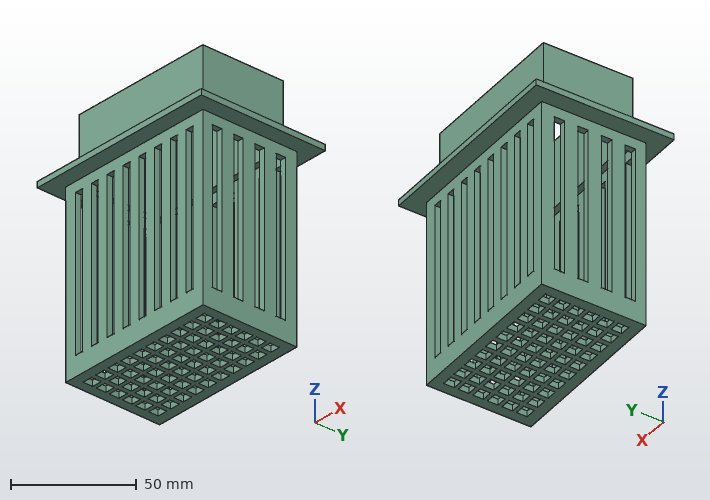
import cadquery as cq

total_height = 123.0
flange_length = 98.0
flange_width = 66.0
flange_thickness = 3.0

sleeve_length = 73.9
sleeve_width = 42.9
sleeve_height = 30.0
bore_length = 70.0
bore_width = 38.0

basket_length = 82.0
basket_width = 50.0
basket_height = total_height - sleeve_height - flange_thickness
basket_wall = 3.0
floor_thickness = 3.0

slot_height = 75.0
slot_bottom = 10.0
long_side_slots = 8
long_side_slot_width = 4.0
long_side_slot_span = 70.1
short_side_slots = 4
short_side_slot_width = 4.9
short_side_slot_span = 38.9
short_side_slot_shift = -0.5

drain_size = 5.0
drain_columns = 10
drain_rows = 6
drain_span_x = 72.3
drain_span_y = 40.0


def block(length, width, height, bottom):
    """Box centred on the Z axis, standing on the given level."""
    box = cq.Workplane("XY").box(length, width, height, centered=(True, True, False))
    return box.translate((0, 0, bottom))


def pitch_in_span(span, size, count):
    """Centre spacing of equal openings whose outer edges fill the span."""
    return (span - size) / (count - 1)


flange_top = basket_height + flange_thickness
body = (
    block(basket_length, basket_width, basket_height, 0)
    .union(block(flange_length, flange_width, flange_thickness, basket_height))
    .union(block(sleeve_length, sleeve_width, sleeve_height, flange_top))
)

cavity_length = basket_length - 2 * basket_wall
cavity_width = basket_width - 2 * basket_wall
cavity_height = basket_height - floor_thickness
body = body.cut(block(cavity_length, cavity_width, cavity_height, floor_thickness))
body = body.cut(block(bore_length, bore_width, total_height - basket_height, basket_height))

slot_plane = cq.Workplane("XY").workplane(offset=slot_bottom)
long_side_pitch = pitch_in_span(long_side_slot_span, long_side_slot_width, long_side_slots)
long_side_cutters = (
    slot_plane.rarray(long_side_pitch, long_side_pitch, long_side_slots, 1)
    .rect(long_side_slot_width, basket_width)
    .extrude(slot_height)
)
body = body.cut(long_side_cutters)

short_side_pitch = pitch_in_span(short_side_slot_span, short_side_slot_width, short_side_slots)
short_side_cutters = (
    slot_plane.center(0, short_side_slot_shift)
    .rarray(short_side_pitch, short_side_pitch, 1, short_side_slots)
    .rect(basket_length, short_side_slot_width)
    .extrude(slot_height)
)
body = body.cut(short_side_cutters)

drain_pitch_x = pitch_in_span(drain_span_x, drain_size, drain_columns)
drain_pitch_y = pitch_in_span(drain_span_y, drain_size, drain_rows)
drain_cutters = (
    cq.Workplane("XY")
    .rarray(drain_pitch_x, drain_pitch_y, drain_columns, drain_rows)
    .rect(drain_size, drain_size)
    .extrude(floor_thickness)
)
result = body.cut(drain_cutters)